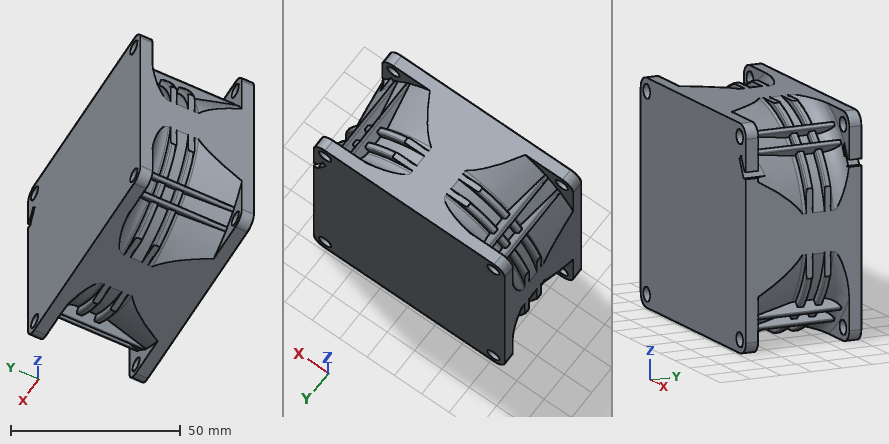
import cadquery as cq

side = 69.8
depth = 38.0
flange_thickness = 4.05
corner_radius = 4.0
hole_diameter = 4.5
hole_offset = 30.8

waist_radius = 35.45
front_radius = 39.0
waist_front_y = -0.4
waist_back_y = 9.7

ring_radius = 37.5
ring_width = 2.1
ring_edge_radius = 0.4
ring_centers_y = (1.95, 7.9)

rib_offset = 3.15
rib_thickness = 1.5
rib_reach = 39.1
rib_edge_radius = 0.3

slot_inner_left = (30.65, 24.0)
slot_inner_right = (31.6, 25.1)
slot_mouth_x = 34.0
slot_mouth_top = 20.9
slot_foot_x = 33.4
slot_mouth_bottom = 18.7
back_slot_lead = 0.15

half_side = side / 2
back_y = depth / 2
front_y = -back_y
front_flange_back_y = front_y + flange_thickness
back_flange_front_y = back_y - flange_thickness


def square_block(y_start, y_end):
    """Full square outline extruded from y_start to y_end."""
    plane = cq.Workplane("XZ", origin=(0, y_start, 0))
    return plane.rect(side, side).extrude(y_start - y_end)


def flange(y_start):
    """Rounded square plate with a mounting hole in each corner."""
    plate = square_block(y_start, y_start + flange_thickness).edges("|Y").fillet(corner_radius)
    holes = (
        cq.Workplane("XZ", origin=(0, y_start, 0))
        .rect(2 * hole_offset, 2 * hole_offset, forConstruction=True)
        .vertices()
        .circle(hole_diameter / 2)
        .extrude(-flange_thickness)
    )
    return plate.cut(holes)


def barrel():
    """Cone, straight waist and concave flare, revolved about Y."""
    flare = back_flange_front_y - waist_back_y
    return (
        cq.Workplane("XY")
        .moveTo(0, front_flange_back_y)
        .lineTo(front_radius, front_flange_back_y)
        .lineTo(waist_radius, waist_front_y)
        .lineTo(waist_radius, waist_back_y)
        .tangentArcPoint((waist_radius + flare, back_flange_front_y), relative=False)
        .lineTo(0, back_flange_front_y)
        .close()
        .revolve(360, (0, 0, 0), (0, 1, 0))
    )


def ring(center_y):
    """Disc with rounded edges that stands out from the waist."""
    start_y = center_y - ring_width / 2
    disc = cq.Workplane("XZ", origin=(0, start_y, 0)).circle(ring_radius).extrude(-ring_width)
    return disc.edges().fillet(ring_edge_radius)


def rib(corner_angle, offset):
    """Plate parallel to a corner diagonal, running between the two flanges."""
    length = back_flange_front_y - front_flange_back_y
    middle_y = (back_flange_front_y + front_flange_back_y) / 2
    plate = (
        cq.Workplane("XY")
        .box(rib_reach, length, rib_thickness)
        .edges("|Y and >X")
        .fillet(rib_edge_radius)
        .translate((rib_reach / 2, middle_y, offset))
    )
    return plate.rotate((0, 0, 0), (0, 1, 0), corner_angle)


def wire_slot(y_start, y_end):
    """Slanted slot and its mouth in the +X edge, cut from y_start to y_end."""
    outline = [
        slot_inner_left,
        slot_inner_right,
        (slot_mouth_x, slot_mouth_top),
        (half_side, slot_mouth_top),
        (half_side, slot_mouth_bottom),
        (slot_foot_x, slot_mouth_bottom),
    ]
    plane = cq.Workplane("XZ", origin=(0, y_start, 0))
    return plane.polyline(outline).close().extrude(y_start - y_end)


core = barrel()
for center_y in ring_centers_y:
    core = core.union(ring(center_y))
for corner_angle in (45, 135, 225, 315):
    for offset in (-rib_offset, rib_offset):
        core = core.union(rib(corner_angle, offset))
core = core.intersect(square_block(front_flange_back_y, back_flange_front_y))

result = core.union(flange(front_y)).union(flange(back_flange_front_y))
result = result.cut(wire_slot(front_y, waist_front_y))
result = result.cut(wire_slot(back_flange_front_y - back_slot_lead, back_y))